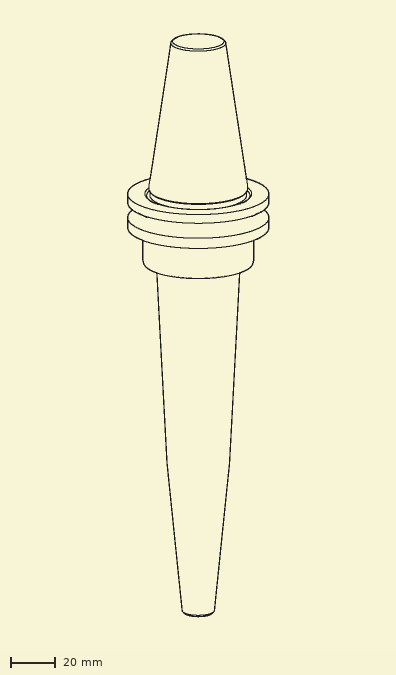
import cadquery as cq
import math

GAUGE_DIAMETER = 44.45
TAPER_RATIO = 7 / 24
SHANK_LENGTH = 68.4
SHANK_CHAMFER = 0.8
GAUGE_LAND_LENGTH = 1.0
NECK_DIAMETER = 43.4

FLANGE_DIAMETER = 63.55
FLANGE_TOP_Z = -3.2
FLANGE_BOTTOM_Z = -19.1
FACE_RECESS_DIAMETER = 48.0
FACE_RECESS_DEPTH = 0.8
GROOVE_DIAMETER = 56.25
GROOVE_CENTRE_Z = -10.8
GROOVE_FLOOR_WIDTH = 2.8
GROOVE_HALF_ANGLE = 30
GROOVE_FLOOR_FILLET = 0.8

COLLAR_DIAMETER = 50.0
COLLAR_BOTTOM_Z = -35.5
COLLAR_CHAMFER_HEIGHT = 1.4
BLEND_RADIUS = 6.0

NOSE_TOP_DIAMETER = 37.2
NOSE_MIDDLE_DIAMETER = 28.2
NOSE_MIDDLE_Z = -129.7
NOSE_TIP_DIAMETER = 14.6
NOSE_TIP_Z = -200.0
TIP_CHAMFER = 1.0


def taper_radius(z):
    """Radius of the steep taper at height z above the gauge plane."""
    return (GAUGE_DIAMETER - TAPER_RATIO * z) / 2


def make_profile():
    """Half section of the holder in the XZ plane, from the shank end to the tip."""
    gauge_radius = GAUGE_DIAMETER / 2
    neck_radius = NECK_DIAMETER / 2
    recess_radius = FACE_RECESS_DIAMETER / 2
    recess_floor_z = FLANGE_TOP_Z - FACE_RECESS_DEPTH
    flange_radius = FLANGE_DIAMETER / 2
    groove_radius = GROOVE_DIAMETER / 2
    collar_radius = COLLAR_DIAMETER / 2
    nose_top_radius = NOSE_TOP_DIAMETER / 2
    tip_radius = NOSE_TIP_DIAMETER / 2

    shank_edge_z = SHANK_LENGTH - SHANK_CHAMFER
    shank_edge_radius = taper_radius(shank_edge_z)

    floor_half = GROOVE_FLOOR_WIDTH / 2
    flank_height = (flange_radius - groove_radius) * math.tan(math.radians(GROOVE_HALF_ANGLE))
    mouth_half = floor_half + flank_height

    blend_bottom_z = COLLAR_BOTTOM_Z - BLEND_RADIUS
    blend_offset = BLEND_RADIUS * (1 - math.sqrt(0.5))
    blend_middle = (nose_top_radius + blend_offset, COLLAR_BOTTOM_Z - blend_offset)

    return (
        cq.Workplane("XZ")
        .moveTo(0, SHANK_LENGTH)
        .lineTo(shank_edge_radius - SHANK_CHAMFER, SHANK_LENGTH)
        .lineTo(shank_edge_radius, shank_edge_z)
        .lineTo(gauge_radius, 0)
        .lineTo(gauge_radius, -GAUGE_LAND_LENGTH)
        .lineTo(neck_radius, -GAUGE_LAND_LENGTH - (gauge_radius - neck_radius))
        .lineTo(neck_radius, recess_floor_z)
        .lineTo(recess_radius - FACE_RECESS_DEPTH, recess_floor_z)
        .lineTo(recess_radius, FLANGE_TOP_Z)
        .lineTo(flange_radius, FLANGE_TOP_Z)
        .lineTo(flange_radius, GROOVE_CENTRE_Z + mouth_half)
        .lineTo(groove_radius, GROOVE_CENTRE_Z + floor_half)
        .lineTo(groove_radius, GROOVE_CENTRE_Z - floor_half)
        .lineTo(flange_radius, GROOVE_CENTRE_Z - mouth_half)
        .lineTo(flange_radius, FLANGE_BOTTOM_Z)
        .lineTo(collar_radius, FLANGE_BOTTOM_Z)
        .lineTo(collar_radius, COLLAR_BOTTOM_Z + COLLAR_CHAMFER_HEIGHT)
        .lineTo(nose_top_radius + BLEND_RADIUS, COLLAR_BOTTOM_Z)
        .threePointArc(blend_middle, (nose_top_radius, blend_bottom_z))
        .lineTo(NOSE_MIDDLE_DIAMETER / 2, NOSE_MIDDLE_Z)
        .lineTo(tip_radius, NOSE_TIP_Z + TIP_CHAMFER)
        .lineTo(tip_radius - TIP_CHAMFER, NOSE_TIP_Z)
        .lineTo(0, NOSE_TIP_Z)
        .close()
    )


def round_groove_floor(body):
    """Fillet the two circular edges where the groove floor meets its flanks."""
    reach = GROOVE_DIAMETER / 2 + GROOVE_FLOOR_FILLET
    height = GROOVE_FLOOR_WIDTH / 2 + GROOVE_FLOOR_FILLET / 2
    floor_box = cq.selectors.BoxSelector(
        (-reach, -reach, GROOVE_CENTRE_Z - height),
        (reach, reach, GROOVE_CENTRE_Z + height),
        boundingbox=True,
    )
    return body.edges("%CIRCLE").edges(floor_box).fillet(GROOVE_FLOOR_FILLET)


holder = make_profile().revolve(360, (0, 0, 0), (0, 1, 0))
result = round_groove_floor(holder)